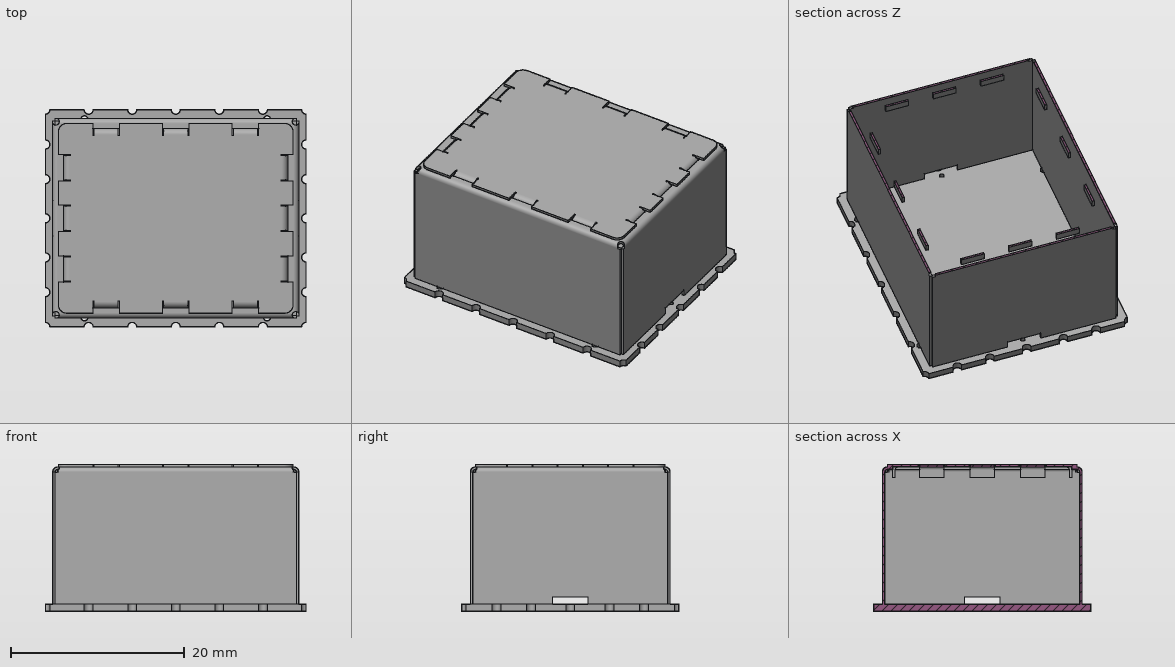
import cadquery as cq

board_x, board_y, board_t = 30.0, 25.0, 0.85
edge_notch_r = 0.5
notch_pitch_x = 5.0
notch_steps_x = (-2, -1, 0, 1, 2)
notch_ys = (-8.5, -4.5, 0.0, 4.5, 8.5)
mount_hole_d, mount_hole_x, mount_hole_y = 0.8, 10.5, 11.37
via_d, via_x = 0.5, 13.65

total_h = 16.92
sheet_t = 0.3
frame_x, frame_y = 28.32, 22.98
bend_r = 0.6
corner_gap = 0.27
corner_relief_d = 0.8
corner_relief_inset = 0.35
window_w, window_h = 4.05, 0.8

lid_x, lid_y = 27.0, 21.85
lid_t = sheet_t
lid_corner_r = 1.0

slot_w = 3.03
tab_w = 2.8
tab_setback = 0.6
tab_bend_r = 0.7
relief_extra = 0.12
tab_drop = 1.5
tab_pitch_x, tab_pitch_y = 8.0, 5.82

frame_top = total_h - lid_t
frame_h = frame_top - board_t
slot_depth = tab_setback + tab_bend_r + relief_extra


def block(x, y, z_low, height):
    """Box centred on the Z axis, standing on z_low."""
    return cq.Workplane("XY").workplane(offset=z_low).rect(x, y).extrude(height)


def corner_points(x, y):
    """The four corners of a centred rectangle with half sizes x and y."""
    return [(i * x, j * y) for i in (-1, 1) for j in (-1, 1)]


def make_board():
    """Board with half-round notches along its edges and quarter-round ones at its corners."""
    half_x, half_y = board_x / 2, board_y / 2
    notches = corner_points(half_x, half_y)
    for side in (-1, 1):
        notches += [(step * notch_pitch_x, side * half_y) for step in notch_steps_x]
        notches += [(side * half_x, y) for y in notch_ys]
    return (
        block(board_x, board_y, 0, board_t)
        .faces("<Z").workplane(origin=(0, 0, 0)).pushPoints(notches)
        .circle(edge_notch_r).cutThruAll()
        .faces("<Z").workplane(origin=(0, 0, 0))
        .pushPoints(corner_points(mount_hole_x, mount_hole_y)).hole(mount_hole_d)
        .faces("<Z").workplane(origin=(0, 0, 0))
        .pushPoints([(-via_x, 0), (via_x, 0)]).hole(via_d)
    )


def make_frame():
    """Four thin walls whose tops bend inward into a flange with a large opening."""
    frame = block(frame_x, frame_y, board_t, frame_h).faces(">Z").edges().fillet(bend_r)
    cavity = (
        block(frame_x - 2 * sheet_t, frame_y - 2 * sheet_t, board_t, frame_h - sheet_t)
        .faces(">Z").edges().fillet(bend_r - sheet_t)
    )
    opening = block(lid_x - 2 * tab_setback, lid_y - 2 * tab_setback, board_t, frame_h)
    windows = block(frame_x, window_w, board_t, window_h)
    frame = frame.cut(cavity).cut(opening).cut(windows)

    corners = corner_points(frame_x / 2, frame_y / 2)
    relief_centres = corner_points(
        frame_x / 2 - corner_relief_inset, frame_y / 2 - corner_relief_inset
    )
    gaps = (
        cq.Workplane("XY").workplane(offset=board_t).pushPoints(corners)
        .rect(2 * corner_gap, 2 * corner_gap).extrude(frame_h)
    )
    reliefs = (
        cq.Workplane("XY").workplane(offset=frame_top - bend_r).pushPoints(relief_centres)
        .circle(corner_relief_d / 2).extrude(bend_r)
    )
    return frame.cut(gaps).cut(reliefs)


def make_tab(edge_distance):
    """Tab on the +X edge of the lid: a flat root, a quarter bend and a straight leg."""
    root = edge_distance - slot_depth
    outer = edge_distance - tab_setback
    inner = outer - sheet_t
    bend_start = outer - tab_bend_r
    bend_z = total_h - tab_bend_r
    inner_r = tab_bend_r - sheet_t
    leg_end = total_h - tab_drop
    return (
        cq.Workplane("XZ", origin=(0, tab_w / 2, 0))
        .moveTo(root, total_h)
        .lineTo(bend_start, total_h)
        .radiusArc((outer, bend_z), tab_bend_r)
        .lineTo(outer, leg_end)
        .lineTo(inner, leg_end)
        .lineTo(inner, bend_z)
        .radiusArc((bend_start, total_h - sheet_t), -inner_r)
        .lineTo(root, total_h - sheet_t)
        .close()
        .extrude(tab_w)
    )


def make_lid():
    """Rounded plate with three slotted, bent-down tabs on every side."""
    lid = block(lid_x, lid_y, frame_top, lid_t).edges("|Z").fillet(lid_corner_r)
    sides = (
        (0, lid_x / 2, tab_pitch_y),
        (90, lid_y / 2, tab_pitch_x),
        (180, lid_x / 2, tab_pitch_y),
        (270, lid_y / 2, tab_pitch_x),
    )
    for angle, edge_distance, pitch in sides:
        slot = block(2 * slot_depth, slot_w, frame_top, lid_t).translate((edge_distance, 0, 0))
        tab = make_tab(edge_distance)
        for step in (-1, 0, 1):
            place = (0, step * pitch, 0)
            lid = lid.cut(slot.translate(place).rotate((0, 0, 0), (0, 0, 1), angle))
            lid = lid.union(tab.translate(place).rotate((0, 0, 0), (0, 0, 1), angle))
    return lid


result = make_board().union(make_frame()).union(make_lid())